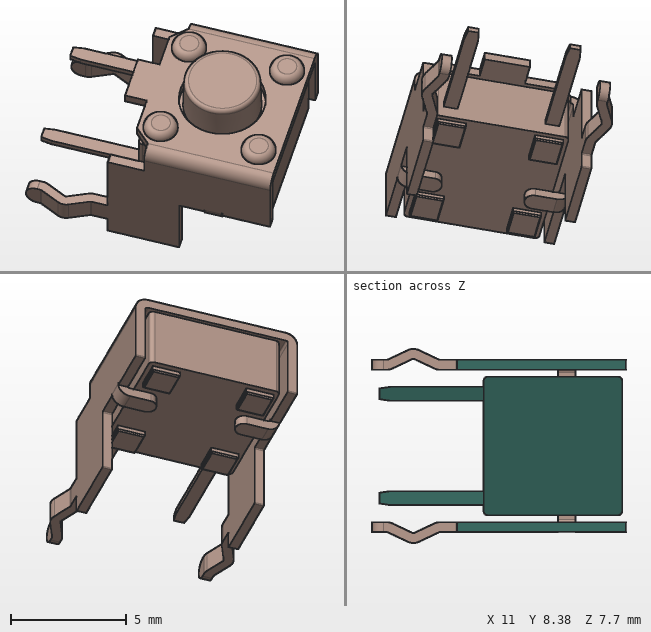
import cadquery as cq
import math


sheet = 0.44
bend_inner = 0.11
bend_outer = bend_inner + sheet
bracket_half_width = 3.72
bracket_right = 3.23
bracket_left = -4.08
bracket_bottom = -6.35
corner_radius = 0.04

cover_left = -3.11
tongue_width = 2.0
fold_left = -2.44
cover_corner = 2.51
cover_hole_diameter = 3.75

wall_notch_z = -1.3
leg_right = -0.86

clip_height = 1.0
clip_z = -5.0
clip_tip = -7.75
clip_left_bend = -7.1
clip_right_bend = -4.81
clip_peak = 4.19

tab_width = 0.77
tab_left = 0.27
tab_tip = 1.83
tab_relief = 0.04

housing_side = 6.0
housing_x = 0.07
housing_top = -sheet
housing_bottom = -3.26
housing_corner = 0.2
rivet_pitch = 4.4
rivet_head_diameter = 1.5
rivet_head_height = 0.35
rivet_head_round = 0.34
rivet_shank_diameter = 1.25
foot_side = 1.25
foot_x = 0.03
foot_pitch = 4.3
foot_height = 0.27
foot_chamfer_height = 0.08
foot_chamfer_inset = 0.04

button_base_diameter = 3.4
button_top_diameter = 3.3
button_top = 1.35
button_round = 0.19

terminal_width = 0.61
terminal_thickness = 0.26
terminal_z = -2.5
terminal_tip = -7.42
terminal_tip_width = 0.47
terminal_taper_length = 0.47
terminal_spacing = 4.5

wall_inner = bracket_half_width - sheet
fold_y = bracket_half_width - bend_outer
housing_left = housing_x - housing_side / 2
tab_right = tab_left + tab_width
tab_bottom = housing_bottom - sheet
tab_fold_z = tab_bottom + bend_outer


def cover_plate():
    """Flat top of the bracket with its tongue, cut left corners, button hole and rivet holes."""
    half_tongue = tongue_width / 2
    upper_half = [
        (bracket_left, half_tongue),
        (cover_left, half_tongue),
        (cover_left, cover_corner),
        (fold_left, fold_y),
        (bracket_right, fold_y),
    ]
    lower_half = [(x, -y) for x, y in reversed(upper_half)]
    plate = cq.Workplane("XY").polyline(upper_half + lower_half).close().extrude(-sheet)
    button_hole = cq.Workplane("XY").circle(cover_hole_diameter / 2).extrude(-sheet)
    rivet_holes = (
        cq.Workplane("XY")
        .center(housing_x, 0)
        .rarray(rivet_pitch, rivet_pitch, 2, 2)
        .circle(rivet_shank_diameter / 2)
        .extrude(-sheet)
    )
    return plate.cut(button_hole).cut(rivet_holes)


def fold(x_start, length, y, z, direction):
    """Quarter-round fold along X about the axis at (y, z), bulging toward -Y and up (1) or down (-1)."""
    diagonal = math.sqrt(0.5)
    return (
        cq.Workplane("YZ", origin=(x_start, y, z))
        .moveTo(-bend_outer, 0)
        .threePointArc(
            (-bend_outer * diagonal, direction * bend_outer * diagonal),
            (0, direction * bend_outer),
        )
        .lineTo(0, direction * bend_inner)
        .threePointArc((-bend_inner * diagonal, direction * bend_inner * diagonal), (-bend_inner, 0))
        .close()
        .extrude(length)
    )


def side_wall():
    """Side wall at -Y with the straight root of its clip."""
    clip_top = clip_z + clip_height / 2
    clip_bottom = clip_z - clip_height / 2
    outline = [
        (fold_left, -bend_outer),
        (fold_left, wall_notch_z),
        (bracket_left, wall_notch_z),
        (bracket_left, clip_top),
        (clip_right_bend, clip_top),
        (clip_right_bend, clip_bottom),
        (bracket_left, clip_bottom),
        (bracket_left, bracket_bottom),
        (leg_right, bracket_bottom),
        (leg_right, housing_bottom),
        (bracket_right, housing_bottom),
        (bracket_right, -bend_outer),
    ]
    wall = (
        cq.Workplane("XZ", origin=(0, -wall_inner, 0))
        .polyline(outline)
        .close()
        .extrude(sheet)
    )
    rounded_region = cq.selectors.BoxSelector(
        (bracket_left - corner_radius, -bracket_half_width - sheet, bracket_bottom - corner_radius),
        (bracket_right + corner_radius, 0, wall_notch_z + corner_radius),
    )
    wall = wall.edges("|Y").edges(rounded_region).fillet(corner_radius)
    tab_opening = cq.Workplane("XY").box(
        tab_width + tab_relief, sheet, tab_fold_z - housing_bottom, centered=False
    )
    return wall.cut(tab_opening.translate((tab_left, -bracket_half_width, housing_bottom)))


def clip():
    """Bent spring clip at -Y: an outward V between two bends, with a round tip."""
    inner = -wall_inner
    outer = -bracket_half_width
    half_span = (clip_right_bend - clip_left_bend) / 2
    left = (clip_left_bend, outer - bend_inner)
    right = (clip_right_bend, outer - bend_inner)
    peak = (clip_left_bend + half_span, bend_outer - clip_peak)
    centre_offset = left[1] - peak[1]
    slope = (
        math.asin((bend_inner + bend_outer) / math.hypot(half_span, centre_offset))
        + math.atan2(centre_offset, half_span)
    )

    def on_bend(centre, radius, angle):
        """Point on a bend, turned clockwise from +Y by the angle."""
        return (centre[0] + radius * math.sin(angle), centre[1] + radius * math.cos(angle))

    profile = (
        cq.Workplane("XY", origin=(0, 0, clip_z - clip_height / 2))
        .moveTo(clip_tip, outer)
        .lineTo(clip_left_bend, outer)
        .threePointArc(on_bend(left, bend_inner, slope / 2), on_bend(left, bend_inner, slope))
        .lineTo(*on_bend(peak, bend_outer, math.pi + slope))
        .threePointArc(on_bend(peak, bend_outer, math.pi), on_bend(peak, bend_outer, math.pi - slope))
        .lineTo(*on_bend(right, bend_inner, -slope))
        .threePointArc(on_bend(right, bend_inner, -slope / 2), (clip_right_bend, outer))
        .lineTo(clip_right_bend, inner)
        .threePointArc(on_bend(right, bend_outer, -slope / 2), on_bend(right, bend_outer, -slope))
        .lineTo(*on_bend(peak, bend_inner, math.pi - slope))
        .threePointArc(on_bend(peak, bend_inner, math.pi), on_bend(peak, bend_inner, math.pi + slope))
        .lineTo(*on_bend(left, bend_outer, slope))
        .threePointArc(on_bend(left, bend_outer, slope / 2), (clip_left_bend, inner))
        .lineTo(clip_tip, inner)
        .close()
        .extrude(clip_height)
    )
    tip_radius = clip_height / 2
    side_outline = (
        cq.Workplane("XZ")
        .moveTo(clip_right_bend, clip_z + tip_radius)
        .lineTo(clip_tip + tip_radius, clip_z + tip_radius)
        .threePointArc((clip_tip, clip_z), (clip_tip + tip_radius, clip_z - tip_radius))
        .lineTo(clip_right_bend, clip_z - tip_radius)
        .close()
        .extrude(clip_peak)
    )
    return profile.intersect(side_outline)


def tab():
    """Tab at -Y folded under the housing, with a fully rounded tip."""
    tip_radius = tab_width / 2
    flat = (
        cq.Workplane("XY", origin=(0, 0, tab_bottom))
        .moveTo(tab_left, -fold_y)
        .lineTo(tab_left, -tab_tip - tip_radius)
        .threePointArc((tab_left + tip_radius, -tab_tip), (tab_right, -tab_tip - tip_radius))
        .lineTo(tab_right, -fold_y)
        .close()
        .extrude(sheet)
    )
    return flat.union(fold(tab_left, tab_width, -fold_y, tab_fold_z, -1))


def make_bracket():
    cover_fold = fold(fold_left, bracket_right - fold_left, -fold_y, -bend_outer, 1)
    side = side_wall().union(clip()).union(tab()).union(cover_fold)
    return cover_plate().union(side).union(side.mirror("XZ"))


def rivet():
    """Shank through the cover with a domed, flat-topped head; its axis is the Z axis."""
    shank = cq.Workplane("XY").circle(rivet_shank_diameter / 2).extrude(housing_top)
    head = cq.Workplane("XY").circle(rivet_head_diameter / 2).extrude(rivet_head_height)
    return shank.union(head.faces(">Z").edges().fillet(rivet_head_round))


def foot():
    """Square pad under the housing with a chamfered lower rim; its axis is the Z axis."""
    pad = (
        cq.Workplane("XY", origin=(0, 0, housing_bottom))
        .rect(foot_side, foot_side)
        .extrude(-foot_height)
    )
    return pad.faces("<Z").edges().chamfer(foot_chamfer_height, foot_chamfer_inset)


def make_housing():
    housing = (
        cq.Workplane("XY", origin=(housing_x, 0, housing_bottom))
        .rect(housing_side, housing_side)
        .extrude(housing_top - housing_bottom)
        .edges("|Z")
        .fillet(housing_corner)
    )
    for x_side in (-1, 1):
        for y_side in (-1, 1):
            rivet_place = (housing_x + x_side * rivet_pitch / 2, y_side * rivet_pitch / 2, 0)
            foot_place = (foot_x + x_side * foot_pitch / 2, y_side * foot_pitch / 2, 0)
            housing = housing.union(rivet().translate(rivet_place)).union(foot().translate(foot_place))
    return housing


def make_button():
    """Slightly tapered round button standing on the housing."""
    return (
        cq.Workplane("XZ")
        .moveTo(0, housing_top)
        .lineTo(button_base_diameter / 2, housing_top)
        .lineTo(button_top_diameter / 2, button_top)
        .lineTo(0, button_top)
        .close()
        .revolve(360, (0, 0, 0), (0, 1, 0))
        .faces(">Z")
        .edges()
        .fillet(button_round)
    )


def make_terminal(y):
    """Flat terminal with a tapered tip, ending at the left face of the housing."""
    upper_half = [
        (terminal_tip, terminal_tip_width / 2),
        (terminal_tip + terminal_taper_length, terminal_width / 2),
        (housing_left, terminal_width / 2),
    ]
    lower_half = [(x, -offset) for x, offset in reversed(upper_half)]
    return (
        cq.Workplane("XY", origin=(0, y, terminal_z - terminal_thickness / 2))
        .polyline(upper_half + lower_half)
        .close()
        .extrude(terminal_thickness)
    )


bracket = make_bracket()
housing = make_housing()
button = make_button()
terminals = [make_terminal(side * terminal_spacing / 2) for side in (-1, 1)]

result = cq.Compound.makeCompound(
    [body.solids().val() for body in (bracket, housing, button, *terminals)]
)